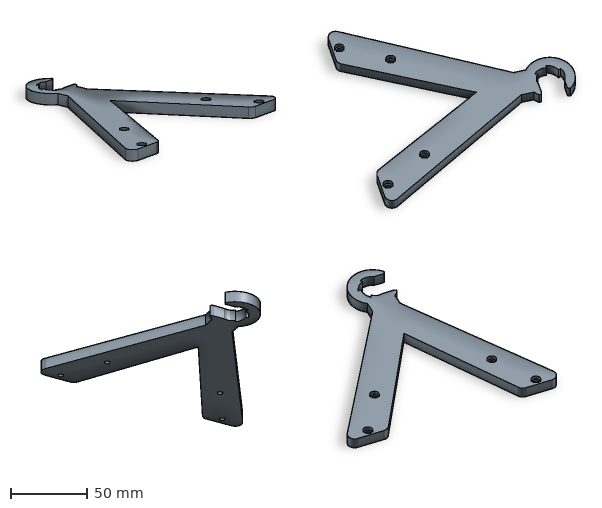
import cadquery as cq
import math

thickness = 8.0
half_span = 74.9
hook_radius = 16.8
arm_end_x = 148.3 - hook_radius

neck_half_width = 9.9
neck_end_x = 22.0
crotch_x = 50.0
inner_corner_y = 48.2
arm_corner_radius = 5.0

hole_diameter = 3.6
bore_diameter = 6.5
bore_depth = 3.0
hole_positions = [(96.8, 42.2), (126.7, 60.5)]

slot_half_width = 8.7
tip_y = 12.9
tip_radius = 1.3
seat_radius = 10.0
tooth_radius = 8.1
ramp_middle_radius = 9.0
tooth_angles = [209, 269, 329]
tooth_pitch = 60
last_ramp_middle = 355
last_ramp_end_y = 3.0


def polar(radius, angle):
    """Point at a radius and an angle in degrees about the hook centre."""
    return (radius * math.cos(math.radians(angle)), radius * math.sin(math.radians(angle)))


def make_arms():
    dx = arm_end_x - arm_corner_radius - neck_end_x
    dy = half_span - arm_corner_radius - neck_half_width
    edge_angle = math.atan2(dy, dx) + math.asin(arm_corner_radius / math.hypot(dx, dy))
    outer_corner_y = neck_half_width + (arm_end_x - neck_end_x) * math.tan(edge_angle)
    upper_edge = [
        (0, neck_half_width),
        (neck_end_x, neck_half_width),
        (arm_end_x, outer_corner_y),
        (arm_end_x, inner_corner_y),
    ]
    lower_edge = [(x, -y) for x, y in reversed(upper_edge)]
    arms = cq.Workplane("XY").polyline(upper_edge + [(crotch_x, 0)] + lower_edge).close()
    return arms.extrude(thickness).edges("|Z and >X").fillet(arm_corner_radius)


def make_hook_disc():
    """Disc cut flat across the hook tips."""
    tip_x = math.sqrt(hook_radius**2 - tip_y**2)
    disc = cq.Workplane("XY").moveTo(-tip_x, tip_y).threePointArc((0, -hook_radius), (tip_x, tip_y))
    return disc.close().extrude(thickness)


def make_opening():
    """Slot flared at the tips, a plain seat on the left and three ratchet ramps below."""
    wall_angle = 180 - math.degrees(math.acos(slot_half_width / seat_radius))
    round_start_y = tip_y - tip_radius
    mouth_half_width = slot_half_width + tip_radius
    round_offset = tip_radius * math.sqrt(0.5)
    round_middle = (mouth_half_width - round_offset, round_start_y + round_offset)

    outline = cq.Workplane("XY").moveTo(mouth_half_width, tip_y).lineTo(-mouth_half_width, tip_y)
    outline = outline.threePointArc((-round_middle[0], round_middle[1]), (-slot_half_width, round_start_y))
    outline = outline.lineTo(*polar(seat_radius, wall_angle))
    outline = outline.threePointArc((-seat_radius, 0), polar(seat_radius, tooth_angles[0]))
    for angle in tooth_angles[:-1]:
        outline = outline.lineTo(*polar(tooth_radius, angle)).threePointArc(
            polar(ramp_middle_radius, angle + tooth_pitch / 2),
            polar(seat_radius, angle + tooth_pitch),
        )
    outline = outline.lineTo(*polar(tooth_radius, tooth_angles[-1])).threePointArc(
        polar(ramp_middle_radius, last_ramp_middle),
        (slot_half_width, last_ramp_end_y),
    )
    outline = outline.lineTo(slot_half_width, round_start_y)
    outline = outline.threePointArc(round_middle, (mouth_half_width, tip_y))
    return outline.close().extrude(thickness)


def drill_holes(plate):
    points = [(x, side * y) for x, y in hole_positions for side in (1, -1)]
    top = plate.faces(">Z").workplane(origin=(0, 0, thickness))
    return top.pushPoints(points).cboreHole(hole_diameter, bore_diameter, bore_depth)


plate = make_arms().union(make_hook_disc()).cut(make_opening())
result = drill_holes(plate)